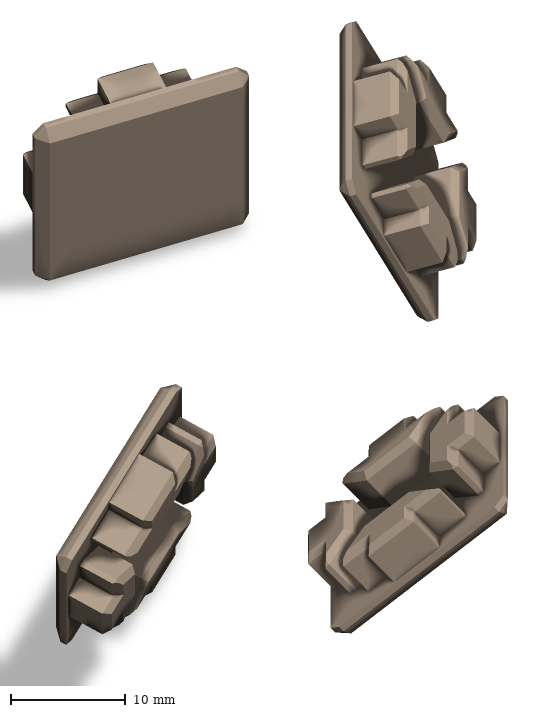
import cadquery as cq
import math

plate_side = 20.0
rim_thickness = 0.6
plate_bevel = 1.0
plate_thickness = rim_thickness + plate_bevel
half_side = plate_side / 2

clip_height = 4.0
inner_radius = 4.4
shoulder_radius = 7.7
stem_radius = 9.6
inner_half_width = 2.85
bar_half_width = 5.6
stem_half_width = 2.6
stem_root_radius = (inner_radius + shoulder_radius) / 2

clip_bevel = 0.6
shoulder_bevel = 0.7

cutter_length = 2 * plate_side


def bevel_cutter(edge_x, point, angle, inset, rise):
    """Wedge that bevels a straight edge lying in the plane x = edge_x.

    The edge passes through point (y, z) and its side face looks along angle, in degrees
    from +Y towards +Z. The wedge reaches inset into the end face and signed rise along X.
    """
    y, z = point
    direction = math.radians(angle)
    plane = cq.Plane(
        origin=(edge_x, y, z),
        xDir=(1, 0, 0),
        normal=(0, -math.sin(direction), math.cos(direction)),
    )
    return (
        cq.Workplane(plane)
        .polyline([(-rise, -2 * inset), (rise, 0), (2 * rise, inset), (-rise, inset)])
        .close()
        .extrude(cutter_length / 2, both=True)
    )


def make_plate():
    plate = (
        cq.Workplane("YZ")
        .rect(plate_side, plate_side)
        .extrude(plate_thickness)
        .edges("|X")
        .chamfer(plate_bevel)
    )
    corner_middle = half_side - plate_bevel / 2
    corner_inset = plate_bevel / math.sqrt(2)
    side_bevel = bevel_cutter(plate_thickness, (half_side, 0), 0, plate_bevel, -plate_bevel)
    corner_bevel = bevel_cutter(
        plate_thickness, (corner_middle, corner_middle), 45, corner_inset, -plate_bevel
    )
    for turn in range(0, 360, 90):
        for cutter in (side_bevel, corner_bevel):
            plate = plate.cut(cutter.rotate((0, 0, 0), (1, 0, 0), turn))
    return plate


def make_bar():
    """Wide part of the clip on the +Z side, with 45 degree flanks and narrow ends."""
    flank_radius = inner_radius + bar_half_width - inner_half_width
    bar = (
        cq.Workplane("YZ")
        .polyline([
            (-inner_half_width, inner_radius),
            (inner_half_width, inner_radius),
            (bar_half_width, flank_radius),
            (bar_half_width, shoulder_radius),
            (-bar_half_width, shoulder_radius),
            (-bar_half_width, flank_radius),
        ])
        .close()
        .extrude(-clip_height)
    )
    bevels = [
        ((0, inner_radius), -90, clip_bevel),
        ((0, shoulder_radius), 90, shoulder_bevel),
        ((inner_half_width, inner_radius), -45, clip_bevel),
        ((-inner_half_width, inner_radius), -135, clip_bevel),
        ((bar_half_width, shoulder_radius), 0, clip_bevel),
        ((-bar_half_width, shoulder_radius), 180, clip_bevel),
    ]
    for point, angle, size in bevels:
        bar = bar.cut(bevel_cutter(-clip_height, point, angle, size, size))
    return bar


def make_stem():
    """Narrow outer part of the clip on the +Z side, rooted inside the bar."""
    stem = (
        cq.Workplane("YZ")
        .center(0, (stem_root_radius + stem_radius) / 2)
        .rect(2 * stem_half_width, stem_radius - stem_root_radius)
        .extrude(-clip_height)
    )
    bevels = [
        ((0, stem_radius), 90),
        ((stem_half_width, stem_radius), 0),
        ((-stem_half_width, stem_radius), 180),
    ]
    for point, angle in bevels:
        stem = stem.cut(bevel_cutter(-clip_height, point, angle, clip_bevel, clip_bevel))
    return stem


clip = make_bar().union(make_stem())
result = make_plate()
for turn in range(0, 360, 90):
    result = result.union(clip.rotate((0, 0, 0), (1, 0, 0), turn))